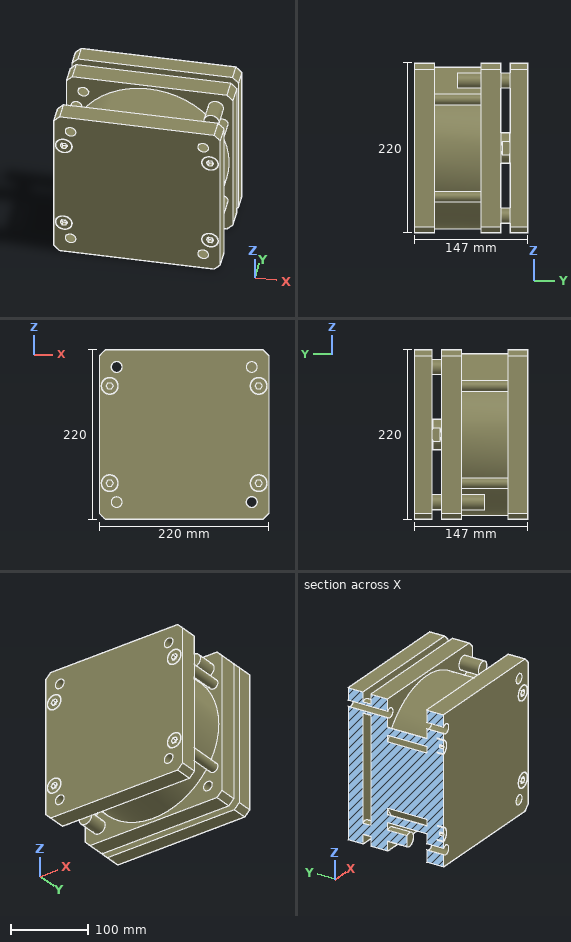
import cadquery as cq
import math

PLATE_SIDE = 220.0
CORNER_RADIUS = 150.0
FRONT_THICKNESS = 26.0
MIDDLE_THICKNESS = 26.0
BACK_THICKNESS = 23.0
BODY_LENGTH = 60.0
HUB_GAP = 12.0

FRONT_REAR_Y = FRONT_THICKNESS
MIDDLE_FRONT_Y = FRONT_REAR_Y + BODY_LENGTH
MIDDLE_REAR_Y = MIDDLE_FRONT_Y + MIDDLE_THICKNESS
BACK_FRONT_Y = MIDDLE_REAR_Y + HUB_GAP
BACK_REAR_Y = BACK_FRONT_Y + BACK_THICKNESS

BODY_DIAMETER = 210.0

ROD_DIAMETER = 14.0
ROD_X = 96.5
ROD_Z = 63.0
HEAD_DIAMETER = 21.0
HEAD_BORE_DIAMETER = 22.0
HEAD_HEIGHT = 10.0
SOCKET_ACROSS_FLATS = 8.0
SOCKET_DEPTH = 6.0

POST_OFFSET = 87.5
POST_DIAMETER = 20.0
PIN_PROJECTION = 30.0
CORNER_HOLE_DIAMETER = 13.84

HUB_DIAMETER = 40.0
HUB_ACROSS_FLATS = 36.0
HUB_FLAT_LENGTH = 10.0
HUB_CHAMFER = 1.0

ROD_POINTS = [(sx * ROD_X, sz * ROD_Z) for sx in (-1, 1) for sz in (-1, 1)]
PIN_POINTS = [(POST_OFFSET, POST_OFFSET), (-POST_OFFSET, -POST_OFFSET)]
SPACER_POINTS = [(-POST_OFFSET, POST_OFFSET), (POST_OFFSET, -POST_OFFSET)]


def plane_at(y):
    """Work plane at position y, local axes along X and Z, normal along -Y."""
    return cq.Workplane("XZ", origin=(0, y, 0))


def cylinders(points, diameter, y_start, y_end):
    """Round bars of one diameter along Y at the given (x, z) points."""
    return plane_at(y_start).pushPoints(points).circle(diameter / 2).extrude(y_start - y_end)


def plate(y_start, thickness):
    """Square plate with its corners turned to a radius."""
    square = plane_at(y_start).rect(PLATE_SIDE, PLATE_SIDE).extrude(-thickness)
    return square.intersect(cylinders([(0, 0)], 2 * CORNER_RADIUS, y_start, y_start + thickness))


def screw_heads():
    """Socket heads lying in their bores, flush with the front face."""
    heads = cylinders(ROD_POINTS, HEAD_DIAMETER, 0, HEAD_HEIGHT)
    socket_across_corners = SOCKET_ACROSS_FLATS / math.cos(math.pi / 6)
    sockets = plane_at(0).pushPoints(ROD_POINTS).polygon(6, socket_across_corners).extrude(-SOCKET_DEPTH)
    return heads.cut(sockets)


def front_plate():
    """Front plate with a through hole in every corner and the four screws."""
    bores = cylinders(ROD_POINTS, HEAD_BORE_DIAMETER, 0, HEAD_HEIGHT)
    holes = cylinders(PIN_POINTS + SPACER_POINTS, CORNER_HOLE_DIAMETER, 0, FRONT_REAR_Y)
    return plate(0, FRONT_THICKNESS).cut(holes).cut(bores).union(screw_heads())


def hub():
    """Round hub between the middle and back plate, with a flat on each X side."""
    radius = HUB_DIAMETER / 2
    half_flats = HUB_ACROSS_FLATS / 2
    slope_front_y = BACK_FRONT_Y - HUB_FLAT_LENGTH
    slope_run = radius - half_flats
    blank = cylinders([(0, 0)], HUB_DIAMETER, MIDDLE_REAR_Y, BACK_FRONT_Y)
    blank = blank.faces(">Y").chamfer(HUB_CHAMFER)
    side_cut = (
        cq.Workplane("XY", origin=(0, 0, -radius))
        .moveTo(half_flats, BACK_FRONT_Y)
        .lineTo(half_flats, slope_front_y)
        .lineTo(radius, slope_front_y - slope_run)
        .lineTo(radius, BACK_FRONT_Y)
        .close()
        .extrude(HUB_DIAMETER)
    )
    return blank.cut(side_cut).cut(side_cut.mirror("YZ"))


result = (
    front_plate()
    .union(cylinders([(0, 0)], BODY_DIAMETER, FRONT_REAR_Y, MIDDLE_FRONT_Y))
    .union(cylinders(ROD_POINTS, ROD_DIAMETER, FRONT_REAR_Y, MIDDLE_FRONT_Y))
    .union(plate(MIDDLE_FRONT_Y, MIDDLE_THICKNESS))
    .union(cylinders(PIN_POINTS, POST_DIAMETER, MIDDLE_FRONT_Y - PIN_PROJECTION, BACK_FRONT_Y))
    .union(cylinders(SPACER_POINTS, POST_DIAMETER, MIDDLE_REAR_Y, BACK_FRONT_Y))
    .union(hub())
    .union(plate(BACK_FRONT_Y, BACK_THICKNESS))
    .cut(cylinders(SPACER_POINTS, CORNER_HOLE_DIAMETER, MIDDLE_FRONT_Y, BACK_REAR_Y))
)